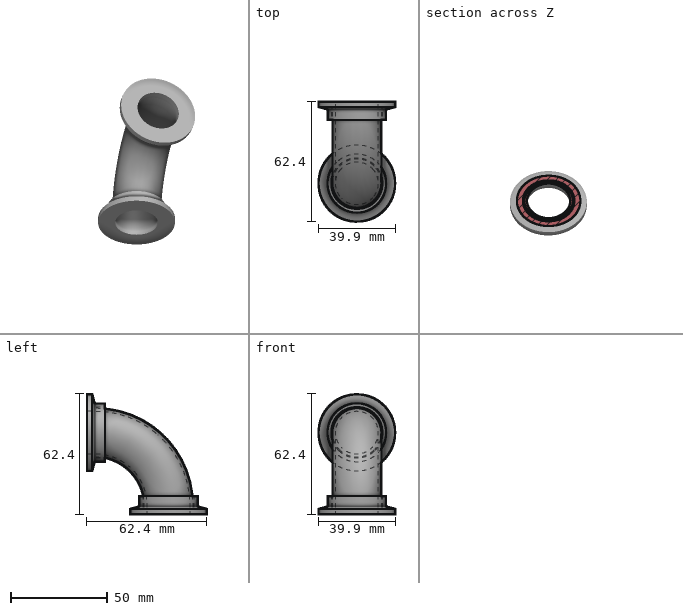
import cadquery as cq

flange_diameter = 39.9
overall_length = 62.35
axis_offset = overall_length - flange_diameter / 2

rim_thickness = 2.8
hub_diameter = 30.45
hub_top = 9.4
cone_top = 4.05
root_fillet = 0.45

tube_diameter = 25.45
tube_wall = 1.6
socket_diameter = 26.5
bend_radius = 37.85
tube_bore = tube_diameter - 2 * tube_wall
socket_floor = rim_thickness
straight_length = axis_offset - bend_radius - socket_floor


def make_flange():
    """Flange on the Z axis with its sealing face at Z = 0."""
    rim_radius = flange_diameter / 2
    hub_radius = hub_diameter / 2
    outline = [
        (0, 0),
        (rim_radius, 0),
        (rim_radius, rim_thickness),
        (hub_radius, cone_top),
        (hub_radius, hub_top),
        (0, hub_top),
    ]
    body = cq.Workplane("XZ").polyline(outline).close().revolve(360, (0, 0), (0, 1))
    body = body.edges("%CIRCLE").edges(cq.selectors.RadiusNthSelector(0)).edges("<Z").fillet(root_fillet)
    bore = cq.Workplane("XY").circle(tube_bore / 2).extrude(hub_top)
    socket = (
        cq.Workplane("XY", origin=(0, 0, socket_floor))
        .circle(socket_diameter / 2)
        .extrude(hub_top - socket_floor)
    )
    return body.cut(bore).cut(socket)


def make_tube():
    """Hollow 90 degree elbow with a short straight length at each end."""
    path = (
        cq.Workplane("YZ")
        .moveTo(0, socket_floor)
        .lineTo(0, socket_floor + straight_length)
        .tangentArcPoint((bend_radius, bend_radius))
        .lineTo(axis_offset - socket_floor, axis_offset)
    )
    section = (
        cq.Workplane("XY", origin=(0, 0, socket_floor))
        .circle(tube_diameter / 2)
        .circle(tube_bore / 2)
    )
    return section.sweep(path)


lower_flange = make_flange()
rear_flange = make_flange().rotate((0, 0, 0), (1, 0, 0), 90).translate((0, axis_offset, axis_offset))
tube = make_tube()

result = cq.Compound.makeCompound([lower_flange.val(), rear_flange.val(), tube.val()])